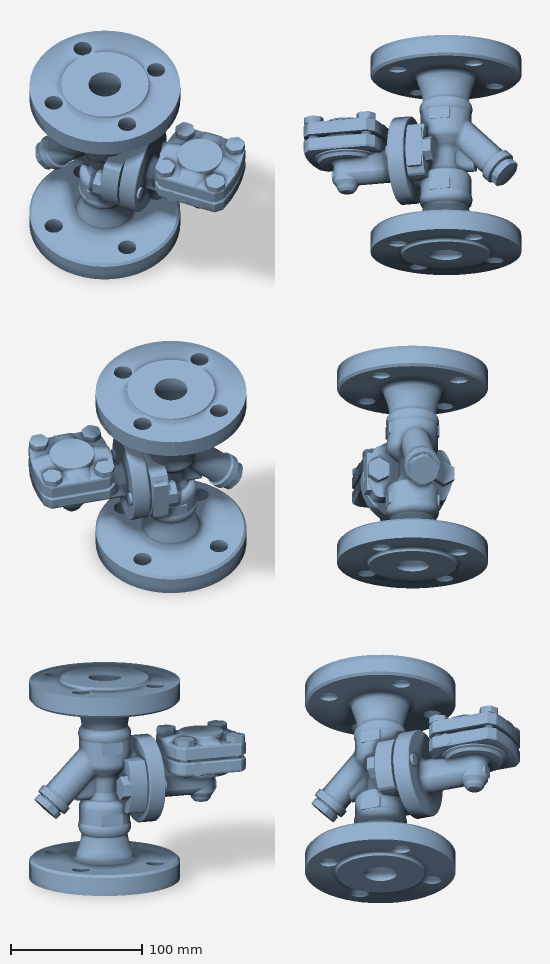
import cadquery as cq
import math

OVERALL_LENGTH = 166.5
HOUSING_LENGTH = 160.0
END_Z = HOUSING_LENGTH / 2

FLANGE_RADIUS = 115.0 / 2
FLANGE_THICKNESS = 16.0
FLANGE_CHAMFER = 1.8
FACE_RADIUS = 67.0 / 2
FACE_HEIGHT = 2.3
FLANGE_HOLE_DIAMETER = 14.0
FLANGE_HOLE_SPACING = 60.1
BORE_DIAMETER = 25.0
BORE_DEPTH = 40.0

NECK_FILLET = 3.2
NECK_BASE_RADIUS = 21.8
NECK_TIP_RADIUS = 35.0 / 2
NECK_TIP_Z = 42.1
NECK_SAG = 0.7
COLLAR_RADIUS = 20.1
COLLAR_MIDDLE_Z = 37.1
BODY_RADIUS = 39.0 / 2
BODY_END_Z = 32.8

UPPER_SHOULDER_Z = 15.2
UPPER_ROUND_END = (17.5, 10.5)
UPPER_ROUND_MIDDLE = (19.0, 12.7)
WAIST_RADIUS = 21.0 / 2
CONE_END = (12.5, 5.5)
WAIST_TOP_Z = 1.7
WAIST_BLEND_MIDDLE = (11.0, 3.7)
WAIST_BOTTOM_Z = -8.5
LOWER_SHOULDER_Z = -20.6
LOWER_ROUND = 6.2

PAD_WIDTH = 15.8
PAD_HEIGHT = 9.2
PAD_CORNER = 1.2
PAD_SPAN = 39.3

BRANCH_ANGLE = 45.0
BRANCH_START_Z = 28.5
BRANCH_RADIUS = 23.0 / 2
BRANCH_FILLET = 3.0
BRANCH_COLLAR_START = 55.3
BRANCH_COLLAR_END = 61.3
BRANCH_COLLAR_RADIUS = 27.0 / 2
BRANCH_COLLAR_FILLET = 1.8
BRANCH_COLLAR_CHAMFER = 0.5
PLUG_NECK_RADIUS = 10.0
PLUG_START = 62.8
PLUG_END = 68.0
PLUG_ACROSS_FLATS = 22.0
PLUG_ACROSS_TRUNCATED_CORNERS = 23.0

WEB_DIAMETER = 10.0
WEB_ROUND_Z = -10.0
WEB_TOP_Z = 5.0
WEB_LENGTH = 23.3

JOINT_Z = -1.8
YOKE_BACK_X = 9.5
YOKE_FACE_X = 23.0
YOKE_RADIUS = 33.0
YOKE_HALF_HEIGHT = 20.5
YOKE_CHAMFER = 1.3
BOSS_RADIUS = 45.3 / 2
BOSS_FILLET = 2.0
NAMEPLATE_HEIGHT = 30.3
NAMEPLATE_DEPTH = 5.0
NAMEPLATE_MARGIN = 1.2
NAMEPLATE_Y = 33.5

JOINT_BOLT_OFFSET = 25.3
JOINT_BOLT_DIAMETER = 9.5
JOINT_BOLT_END_X = 39.6
JOINT_HEAD_FLATS = 16.0
JOINT_HEAD_HEIGHT = 6.3

DISC_BACK_X = 24.6
DISC_FACE_X = 37.6
DISC_RADIUS = 67.0 / 2
DISC_CHAMFER = 0.7
SPIGOT_RADIUS = 34.0 / 2

HEAD_X = 78.1
ARM_HALF_WIDTH = 21.0 / 2
ARM_TOP_Z = 8.0
ARM_FLAT_TOP_Z = 0.7
ARM_FLAT_BOTTOM_Z = -11.0
ARM_BOTTOM_Z = -17.8
ARM_EDGE_ROUND = 0.8
ARM_ROOT_FILLET = 2.5
ARM_BOWL_FILLET = 2.5

PILLAR_RADIUS = ARM_HALF_WIDTH
PILLAR_BOTTOM_Z = -15.5
PILLAR_FILLET = 3.0
TAPER_RADIUS = 8.2
TAPER_Z = -18.8
DRAIN_RADIUS = 7.3
DRAIN_STEP_Z = -21.0
DRAIN_TIP_RADIUS = 5.5
DRAIN_TIP_Z = -23.1
SIDE_BOSS_DIAMETER = 10.5
SIDE_BOSS_Z = -10.3
SIDE_BOSS_END = 10.8

BOWL_Z = -0.3
BOWL_RADIUS = 21.5
BOWL_RIM_RADIUS = 45.8 / 2
BOWL_RIM_Z = 2.0
BOWL_TOP_RADIUS = 25.0
BOWL_TOP_Z = 2.8

PLATE_HALF_WIDTH = 56.3 / 2
PLATE_HALF_LENGTH = OVERALL_LENGTH - FLANGE_RADIUS - HEAD_X
PLATE_CORNER_X = 22.8
PLATE_SIDE_X = 28.1
PLATE_CORNER_CUT = 5.5
PLATE_CHAMFER_DEPTH = 0.7
PLATE_CHAMFER_HEIGHT = 1.5
INNER_CHAMFER = 0.8
LOWER_PLATE_Z = 3.7
LOWER_PLATE_TOP_Z = 13.7
UPPER_PLATE_Z = 16.5
UPPER_PLATE_TOP_Z = 26.3
GASKET_RADIUS = 45.8 / 2
GASKET_STEP_RADIUS = 23.6
GASKET_STEP_Z = 15.2
ROUND_PAD_DIAMETER = 10.5
ROUND_PAD_X = 65.5
ROUND_PAD_HEIGHT = 0.3

CAP_RADIUS = 34.0 / 2
CAP_TOP_Z = 31.3
RIB_RADIUS = 15.0
RIB_CREST_Z = 30.0
RIB_SLOPE = 10.0
RIB_LENGTH = 33.3
RIB_BEVEL_HEIGHT = 4.8
RIB_BEVEL_DEPTH = 6.7
RIB_ROOT_FILLET = 1.0
HEAD_BOLT_OFFSET = 20.6
HEAD_BOLT_DIAMETER = 8.0
HEAD_BOLT_FLATS = 13.7
HEAD_BOLT_ROUND = 14.8


def rod_z(radius, start, end, x=0.0, y=0.0):
    """Round bar along Z."""
    return cq.Workplane("XY", origin=(x, y, start)).circle(radius).extrude(end - start)


def rod_x(radius, start, end, y, z):
    """Round bar along X."""
    return cq.Workplane("YZ", origin=(start, y, z)).circle(radius).extrude(end - start)


def hex_diameter(across_flats):
    """Diameter of the circle through the corners of a hexagon."""
    return across_flats / math.cos(math.radians(30))


def edges_in_box(shape, corner, opposite):
    """Edges whose centers lie in a box."""
    return shape.edges(cq.selectors.BoxSelector(corner, opposite))


def upper_end():
    """Flange, flared neck and collar above the body, as one turned shape with a solid core."""
    flange_top = END_Z - FACE_HEIGHT
    flange_bottom = flange_top - FLANGE_THICKNESS
    flare = FACE_HEIGHT * (1 - math.sqrt(0.5))
    neck_blend = NECK_FILLET * (1 - math.sqrt(0.5))
    neck_top = flange_bottom - NECK_FILLET
    neck_middle = (
        (NECK_BASE_RADIUS + NECK_TIP_RADIUS) / 2 - NECK_SAG,
        (neck_top + NECK_TIP_Z) / 2,
    )
    profile = (
        cq.Workplane("XZ")
        .moveTo(0, END_Z)
        .lineTo(FACE_RADIUS, END_Z)
        .threePointArc(
            (FACE_RADIUS + flare, flange_top + flare),
            (FACE_RADIUS + FACE_HEIGHT, flange_top),
        )
        .lineTo(FLANGE_RADIUS, flange_top)
        .lineTo(FLANGE_RADIUS, flange_bottom + FLANGE_CHAMFER)
        .lineTo(FLANGE_RADIUS - FLANGE_CHAMFER, flange_bottom)
        .lineTo(NECK_BASE_RADIUS + NECK_FILLET, flange_bottom)
        .threePointArc(
            (NECK_BASE_RADIUS + neck_blend, flange_bottom - neck_blend),
            (NECK_BASE_RADIUS, neck_top),
        )
        .threePointArc(neck_middle, (NECK_TIP_RADIUS, NECK_TIP_Z))
        .threePointArc((COLLAR_RADIUS, COLLAR_MIDDLE_Z), (BODY_RADIUS, BODY_END_Z))
        .lineTo(0, BODY_END_Z)
        .close()
    )
    turned = profile.revolve(360, (0, 0, 0), (0, 1, 0))
    holes = (
        cq.Workplane("XY", origin=(0, 0, flange_bottom))
        .rect(FLANGE_HOLE_SPACING, FLANGE_HOLE_SPACING, forConstruction=True)
        .vertices()
        .circle(FLANGE_HOLE_DIAMETER / 2)
        .extrude(FLANGE_THICKNESS)
    )
    return turned.cut(holes)


def waisted_body():
    """Turned body between the two collars, with a narrow waist."""
    round_center = BODY_RADIUS - LOWER_ROUND
    round_top = LOWER_SHOULDER_Z + LOWER_ROUND
    round_middle = LOWER_ROUND * math.sqrt(0.5)
    profile = (
        cq.Workplane("XZ")
        .moveTo(0, BODY_END_Z)
        .lineTo(BODY_RADIUS, BODY_END_Z)
        .lineTo(BODY_RADIUS, UPPER_SHOULDER_Z)
        .threePointArc(UPPER_ROUND_MIDDLE, UPPER_ROUND_END)
        .lineTo(*CONE_END)
        .threePointArc(WAIST_BLEND_MIDDLE, (WAIST_RADIUS, WAIST_TOP_Z))
        .lineTo(WAIST_RADIUS, WAIST_BOTTOM_Z)
        .lineTo(round_center, round_top)
        .threePointArc(
            (round_center + round_middle, LOWER_SHOULDER_Z + round_middle),
            (BODY_RADIUS, LOWER_SHOULDER_Z),
        )
        .lineTo(BODY_RADIUS, -BODY_END_Z)
        .lineTo(0, -BODY_END_Z)
        .close()
    )
    return profile.revolve(360, (0, 0, 0), (0, 1, 0))


def wrench_pads():
    """Flat rectangular pads on the -Y and +Y sides, next to each collar."""
    pads = cq.Workplane("XY")
    for side in (1, -1):
        pad = (
            cq.Workplane("XY")
            .box(PAD_WIDTH, PAD_SPAN, PAD_HEIGHT)
            .edges("|Y")
            .fillet(PAD_CORNER)
            .translate((0, 0, side * (BODY_END_Z - PAD_HEIGHT / 2)))
        )
        pads = pads.union(pad)
    return pads


def along_branch(shape):
    """Places a shape built along +Z from the origin on the branch axis."""
    turned = shape.rotate((0, 0, 0), (0, 1, 0), 180 + BRANCH_ANGLE)
    return turned.translate((0, 0, BRANCH_START_Z))


def branch_tube():
    """Round tube of the strainer branch."""
    return along_branch(rod_z(BRANCH_RADIUS, 0, BRANCH_COLLAR_START))


def branch_end():
    """Collar at the end of the branch and the plug screwed into it."""
    collar = rod_z(BRANCH_COLLAR_RADIUS, BRANCH_COLLAR_START, BRANCH_COLLAR_END)
    collar = collar.faces(">Z").chamfer(BRANCH_COLLAR_CHAMFER)
    root = (
        cq.Workplane("XZ")
        .moveTo(0, BRANCH_COLLAR_START)
        .lineTo(BRANCH_RADIUS + BRANCH_COLLAR_FILLET, BRANCH_COLLAR_START)
        .radiusArc((BRANCH_RADIUS, BRANCH_COLLAR_START - BRANCH_COLLAR_FILLET), -BRANCH_COLLAR_FILLET)
        .lineTo(0, BRANCH_COLLAR_START - BRANCH_COLLAR_FILLET)
        .close()
        .revolve(360, (0, 0, 0), (0, 1, 0))
    )
    collar = collar.union(root)
    neck = rod_z(PLUG_NECK_RADIUS, BRANCH_COLLAR_END, PLUG_START)
    head_height = PLUG_END - PLUG_START
    head_base = cq.Workplane("XY", origin=(0, 0, PLUG_START))
    head = head_base.polygon(6, hex_diameter(PLUG_ACROSS_FLATS)).extrude(head_height)
    corner_trim = (
        head_base.polygon(6, hex_diameter(PLUG_ACROSS_TRUNCATED_CORNERS))
        .extrude(head_height)
        .rotate((0, 0, 0), (0, 0, 1), 30)
    )
    return along_branch(collar.union(neck).union(head.intersect(corner_trim)))


def branch_web():
    """Web that fills the corner below the branch; its underside is a half round."""
    round_edge = rod_x(WEB_DIAMETER / 2, -WEB_LENGTH, 0, 0, WEB_ROUND_Z)
    web_height = WEB_TOP_Z - WEB_ROUND_Z
    wall = cq.Workplane("XY", origin=(0, 0, WEB_ROUND_Z)).box(
        WEB_LENGTH, WEB_DIAMETER, web_height, centered=(False, True, False)
    )
    return round_edge.union(wall.translate((-WEB_LENGTH, 0, 0)))


def yoke():
    """Round plate with flat top and bottom and a nameplate pad on +Y."""
    depth = YOKE_FACE_X - YOKE_BACK_X
    flats = cq.Workplane("XY").box(4 * depth, 3 * YOKE_RADIUS, 2 * YOKE_HALF_HEIGHT)
    plate = rod_x(YOKE_RADIUS, YOKE_BACK_X, YOKE_FACE_X, 0, JOINT_Z)
    plate = plate.intersect(flats.translate((YOKE_BACK_X, 0, JOINT_Z)))
    plate = plate.edges("|X").chamfer(YOKE_CHAMFER)
    nameplate = (
        cq.Workplane("XY")
        .box(depth - 2 * NAMEPLATE_MARGIN, NAMEPLATE_DEPTH, NAMEPLATE_HEIGHT)
        .translate(((YOKE_BACK_X + YOKE_FACE_X) / 2, NAMEPLATE_Y - NAMEPLATE_DEPTH / 2, JOINT_Z))
    )
    return plate.union(nameplate)


def joint_bolt(side):
    """Hexagon bolt behind the yoke; its shank runs through the yoke and the trap disc."""
    y = side * JOINT_BOLT_OFFSET
    head = (
        cq.Workplane("YZ", origin=(YOKE_BACK_X - JOINT_HEAD_HEIGHT, y, JOINT_Z))
        .polygon(6, hex_diameter(JOINT_HEAD_FLATS))
        .extrude(JOINT_HEAD_HEIGHT)
        .rotate((0, y, JOINT_Z), (1, y, JOINT_Z), 90)
    )
    shank = rod_x(JOINT_BOLT_DIAMETER / 2, YOKE_BACK_X, JOINT_BOLT_END_X, y, JOINT_Z)
    return head.union(shank)


def filleted_casting():
    """Turned body with the branch and the yoke boss blended into it."""
    r = BODY_RADIUS
    casting = waisted_body().union(branch_tube())
    branch_join = edges_in_box(casting, (-r, -r, 0), (0, r, BRANCH_START_Z))
    casting = branch_join.edges("%BSPLINE").fillet(BRANCH_FILLET)
    casting = casting.union(rod_x(BOSS_RADIUS, YOKE_BACK_X, YOKE_FACE_X, 0, JOINT_Z))
    boss_start = YOKE_BACK_X + BOSS_FILLET / 10
    boss_join = edges_in_box(casting, (boss_start, -r, -END_Z), (YOKE_FACE_X, r, END_Z))
    return boss_join.edges("%BSPLINE").fillet(BOSS_FILLET)


def make_housing():
    """Flanged pipe body with its strainer branch, yoke and joint bolts."""
    cast = filleted_casting().union(branch_web())
    upper = upper_end()
    lower = upper.mirror("XY")
    body = cast.union(upper).union(lower).union(wrench_pads())
    body = body.union(branch_end()).union(yoke())
    for side in (-1, 1):
        body = body.union(joint_bolt(side))
        bore_end = side * (END_Z - BORE_DEPTH)
        body = body.cut(rod_z(BORE_DIAMETER / 2, bore_end, side * END_Z))
    return body


def trap_disc():
    """Joint disc with its raised spigot."""
    disc = rod_x(DISC_RADIUS, DISC_BACK_X, DISC_FACE_X, 0, JOINT_Z).edges().chamfer(DISC_CHAMFER)
    return disc.union(rod_x(SPIGOT_RADIUS, YOKE_FACE_X, DISC_BACK_X, 0, JOINT_Z))


def trap_arm():
    """Flat-sided arm with a rounded top and bottom, from the disc to the pillar."""
    w = ARM_HALF_WIDTH
    return (
        cq.Workplane("YZ", origin=(DISC_FACE_X, 0, 0))
        .moveTo(w, ARM_FLAT_BOTTOM_Z)
        .lineTo(w, ARM_FLAT_TOP_Z)
        .threePointArc((0, ARM_TOP_Z), (-w, ARM_FLAT_TOP_Z))
        .lineTo(-w, ARM_FLAT_BOTTOM_Z)
        .threePointArc((0, ARM_BOTTOM_Z), (w, ARM_FLAT_BOTTOM_Z))
        .close()
        .extrude(HEAD_X - DISC_FACE_X)
        .edges("|X")
        .fillet(ARM_EDGE_ROUND)
    )


def trap_bowl():
    """Turned pillar, drain tip and bowl below the head plates."""
    blend = PILLAR_FILLET * (1 - math.sqrt(0.5))
    profile = (
        cq.Workplane("XZ")
        .moveTo(0, DRAIN_TIP_Z)
        .lineTo(DRAIN_TIP_RADIUS, DRAIN_TIP_Z)
        .lineTo(DRAIN_RADIUS, DRAIN_STEP_Z)
        .lineTo(TAPER_RADIUS, TAPER_Z)
        .lineTo(PILLAR_RADIUS, PILLAR_BOTTOM_Z)
        .lineTo(PILLAR_RADIUS, BOWL_Z - PILLAR_FILLET)
        .threePointArc(
            (PILLAR_RADIUS + blend, BOWL_Z - blend),
            (PILLAR_RADIUS + PILLAR_FILLET, BOWL_Z),
        )
        .lineTo(BOWL_RADIUS, BOWL_Z)
        .lineTo(BOWL_RIM_RADIUS, BOWL_RIM_Z)
        .lineTo(BOWL_TOP_RADIUS, BOWL_TOP_Z)
        .lineTo(BOWL_TOP_RADIUS, LOWER_PLATE_Z)
        .lineTo(0, LOWER_PLATE_Z)
        .close()
    )
    return profile.revolve(360, (0, 0, 0), (0, 1, 0)).translate((HEAD_X, 0, 0))


def plate_block(bottom, top):
    """Block with the outline of the head plates: cut corners and bulged X sides."""
    outer_y = PLATE_HALF_WIDTH
    corner_y = PLATE_HALF_WIDTH - PLATE_CORNER_CUT
    side_x = PLATE_SIDE_X
    bulge_x = PLATE_HALF_LENGTH
    return (
        cq.Workplane("XY", origin=(HEAD_X, 0, bottom))
        .moveTo(-PLATE_CORNER_X, -outer_y)
        .lineTo(PLATE_CORNER_X, -outer_y)
        .lineTo(side_x, -corner_y)
        .threePointArc((bulge_x, 0), (side_x, corner_y))
        .lineTo(PLATE_CORNER_X, outer_y)
        .lineTo(-PLATE_CORNER_X, outer_y)
        .lineTo(-side_x, corner_y)
        .threePointArc((-bulge_x, 0), (-side_x, -corner_y))
        .close()
        .extrude(top - bottom)
    )


def head_plates():
    """Lower and upper plates with the gasket between them and a round pad on the -Y side."""
    lower = plate_block(LOWER_PLATE_Z, LOWER_PLATE_TOP_Z)
    lower = lower.faces("<Z").chamfer(PLATE_CHAMFER_HEIGHT, PLATE_CHAMFER_DEPTH)
    lower = lower.faces(">Z").chamfer(INNER_CHAMFER)
    upper = plate_block(UPPER_PLATE_Z, UPPER_PLATE_TOP_Z)
    upper = upper.faces(">Z").chamfer(PLATE_CHAMFER_HEIGHT, PLATE_CHAMFER_DEPTH)
    gasket = rod_z(GASKET_RADIUS, LOWER_PLATE_TOP_Z, UPPER_PLATE_Z, HEAD_X)
    gasket_step = rod_z(GASKET_STEP_RADIUS, LOWER_PLATE_TOP_Z, GASKET_STEP_Z, HEAD_X)
    round_pad_z = (LOWER_PLATE_Z + LOWER_PLATE_TOP_Z) / 2
    round_pad = (
        cq.Workplane("XZ", origin=(ROUND_PAD_X, -PLATE_HALF_WIDTH, round_pad_z))
        .circle(ROUND_PAD_DIAMETER / 2)
        .extrude(ROUND_PAD_HEIGHT)
    )
    return lower.union(upper).union(gasket).union(gasket_step).union(round_pad)


def cap_rib():
    """Round-backed rib that slopes down from the cap toward +X; the cap axis is Z."""
    axis_point = (CAP_RADIUS, 0, RIB_CREST_Z - RIB_RADIUS)
    tilt_end = (CAP_RADIUS, 1, RIB_CREST_Z - RIB_RADIUS)
    outer_half = cq.Workplane("XY", origin=(0, 0, UPPER_PLATE_TOP_Z)).box(
        RIB_LENGTH, 2 * RIB_RADIUS, CAP_TOP_Z - UPPER_PLATE_TOP_Z, centered=(False, True, False)
    )
    return (
        cq.Workplane("YZ", origin=axis_point)
        .circle(RIB_RADIUS)
        .extrude(RIB_LENGTH, both=True)
        .rotate(axis_point, tilt_end, RIB_SLOPE)
        .intersect(outer_half)
    )


def head_cap():
    """Round cap with four ribs that run down to the beveled plate edges."""
    limits = plate_block(UPPER_PLATE_TOP_Z, CAP_TOP_Z).faces(">Z").chamfer(RIB_BEVEL_HEIGHT, RIB_BEVEL_DEPTH)
    cap = rod_z(CAP_RADIUS, UPPER_PLATE_TOP_Z, CAP_TOP_Z, HEAD_X)
    rib = cap_rib()
    for quarter in range(4):
        turned = rib.rotate((0, 0, 0), (0, 0, 1), 90 * quarter).translate((HEAD_X, 0, 0))
        cap = cap.union(turned.intersect(limits))
    roots = edges_in_box(
        cap,
        (HEAD_X - CAP_RADIUS, -CAP_RADIUS, UPPER_PLATE_TOP_Z),
        (HEAD_X + CAP_RADIUS, CAP_RADIUS, RIB_CREST_Z),
    )
    return roots.edges("%BSPLINE").fillet(RIB_ROOT_FILLET)


def head_bolt(x_side, y_side):
    """Hexagon bolt that clamps the two plates; diagonal neighbours share their head angle."""
    x = HEAD_X + x_side * HEAD_BOLT_OFFSET
    y = y_side * HEAD_BOLT_OFFSET
    head_angle = 90 if x_side == y_side else 0
    head = (
        cq.Workplane("XY", origin=(x, y, UPPER_PLATE_TOP_Z))
        .polygon(6, hex_diameter(HEAD_BOLT_FLATS))
        .extrude(CAP_TOP_Z - UPPER_PLATE_TOP_Z)
        .rotate((x, y, 0), (x, y, 1), head_angle)
        .intersect(rod_z(HEAD_BOLT_ROUND / 2, UPPER_PLATE_TOP_Z, CAP_TOP_Z, x, y))
    )
    return head.union(rod_z(HEAD_BOLT_DIAMETER / 2, LOWER_PLATE_TOP_Z, UPPER_PLATE_Z, x, y))


def trap_base():
    """Disc, arm and bowl with the arm blended into the disc and into the bowl."""
    w = ARM_HALF_WIDTH
    base = trap_disc().union(trap_arm())
    margin = ARM_EDGE_ROUND / 2
    root_zone = cq.selectors.BoxSelector(
        (DISC_FACE_X - margin, -w - margin, ARM_BOTTOM_Z - margin),
        (DISC_FACE_X + margin, w + margin, ARM_TOP_Z + margin),
    )
    disc_rim = cq.selectors.BoxSelector(
        (DISC_FACE_X - margin, -margin, JOINT_Z - margin),
        (DISC_FACE_X + margin, margin, JOINT_Z + margin),
    )
    root = base.edges(root_zone - disc_rim)
    base = root.fillet(ARM_ROOT_FILLET).union(trap_bowl())
    bowl_join = edges_in_box(
        base,
        (DISC_FACE_X, -w - margin, BOWL_Z - margin),
        (HEAD_X, w + margin, BOWL_Z + margin),
    )
    return bowl_join.edges("%LINE").fillet(ARM_BOWL_FILLET)


def make_trap():
    """Trap with its joint disc, arm, pillar and bolted head."""
    trap = trap_base()
    side_boss = rod_x(SIDE_BOSS_DIAMETER / 2, HEAD_X, HEAD_X + SIDE_BOSS_END, 0, SIDE_BOSS_Z)
    trap = trap.union(side_boss).union(head_plates()).union(head_cap())
    for x_side in (-1, 1):
        for y_side in (-1, 1):
            trap = trap.union(head_bolt(x_side, y_side))
    for side in (-1, 1):
        y = side * JOINT_BOLT_OFFSET
        trap = trap.cut(rod_x(JOINT_BOLT_DIAMETER / 2, DISC_BACK_X, DISC_FACE_X, y, JOINT_Z))
    return trap


housing = make_housing()
trap = make_trap()
result = cq.Compound.makeCompound([housing.val(), trap.val()])